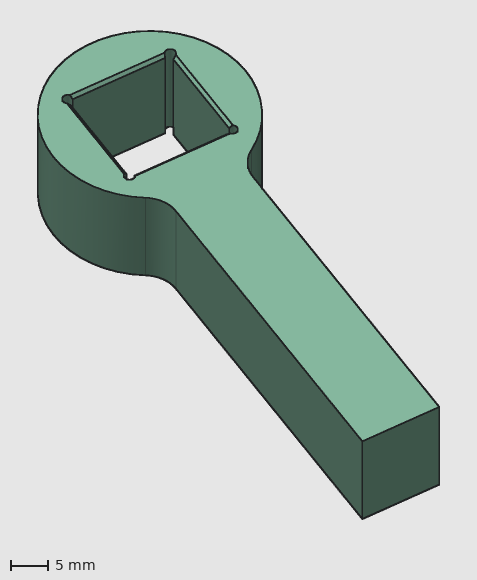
import cadquery as cq
import math

total_length = 80.0
thickness = 15.5
head_diameter = 30.0
handle_width = 12.0
neck_radius = 5.0

socket_width = 16.0
socket_chamfer = 0.5
corner_relief_diameter = 1.5

head_radius = head_diameter / 2
head_center_x = head_radius
half_handle = handle_width / 2


def make_outline_body():
    """Round head blended into a straight handle by two concave neck arcs."""
    neck_center_y = half_handle + neck_radius
    neck_angle = math.asin(neck_center_y / (head_radius + neck_radius))
    neck_end_x = head_center_x + (head_radius + neck_radius) * math.cos(neck_angle)
    neck_start_x = head_center_x + head_radius * math.cos(neck_angle)
    neck_start_y = head_radius * math.sin(neck_angle)

    middle_angle = (neck_angle + math.pi / 2) / 2
    neck_middle_x = neck_end_x - neck_radius * math.cos(middle_angle)
    neck_middle_y = neck_center_y - neck_radius * math.sin(middle_angle)

    return (
        cq.Workplane("XY")
        .moveTo(total_length, -half_handle)
        .lineTo(total_length, half_handle)
        .lineTo(neck_end_x, half_handle)
        .threePointArc((neck_middle_x, neck_middle_y), (neck_start_x, neck_start_y))
        .threePointArc((0, 0), (neck_start_x, -neck_start_y))
        .threePointArc((neck_middle_x, -neck_middle_y), (neck_end_x, -half_handle))
        .close()
        .extrude(thickness)
    )


def make_socket():
    """Square through hole, wider at its chamfered top rim."""
    square_hole = (
        cq.Workplane("XY")
        .center(head_center_x, 0)
        .rect(socket_width, socket_width)
        .extrude(thickness)
    )
    rim_width = socket_width + 2 * socket_chamfer
    rim = (
        cq.Workplane("XY", origin=(head_center_x, 0, thickness - socket_chamfer))
        .rect(socket_width, socket_width)
        .workplane(offset=socket_chamfer)
        .rect(rim_width, rim_width)
        .loft(ruled=True)
    )
    return square_hole.union(rim)


def make_corner_reliefs():
    """Round through holes centred on the four socket corners."""
    return (
        cq.Workplane("XY")
        .center(head_center_x, 0)
        .rect(socket_width, socket_width, forConstruction=True)
        .vertices()
        .circle(corner_relief_diameter / 2)
        .extrude(thickness)
    )


result = make_outline_body().cut(make_socket()).cut(make_corner_reliefs())